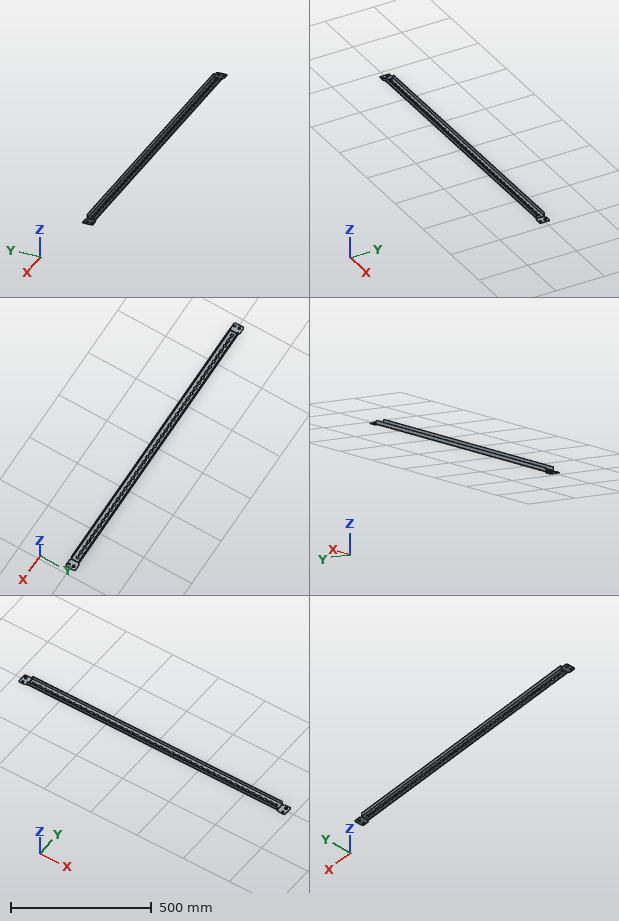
import cadquery as cq

total_length = 1150.02
total_height = 17.0
sheet = 1.5

pad_length = 30.0
pad_width = 40.0
pad_corner_radius = 4.0

rail_width = 33.5
rail_length = 1082.0
rail_step = 2.5
flange_end_chamfer = 3.0

hole_pitch = 25.0
square_hole_count = 43
square_hole_side = 9.0
round_hole_diameter = 5.0

pad_feature_x = 562.5
fixing_hole_y = -12.0
fixing_hole_diameter = 7.0
collar_y = 7.0
collar_diameter = 9.0
collar_bore = 6.0
collar_top = 5.0

pad_inner_x = total_length / 2 - pad_length
rail_end_x = rail_length / 2


def make_rail():
    """U-channel whose upper flange corners are clipped at both ends."""
    rail_height = total_height - rail_step
    rail = (
        cq.Workplane("XY")
        .workplane(offset=rail_step)
        .rect(rail_length, rail_width)
        .extrude(rail_height)
        .edges("|Y and >Z")
        .chamfer(flange_end_chamfer)
    )
    trough = (
        cq.Workplane("XY")
        .workplane(offset=rail_step + sheet)
        .rect(rail_length, rail_width - 2 * sheet)
        .extrude(rail_height)
    )
    return rail.cut(trough)


def make_pad(side):
    """Flat rounded end plate; side is -1 or 1."""
    return (
        cq.Workplane("XY")
        .center(side * (total_length - pad_length) / 2, 0)
        .rect(pad_length, pad_width)
        .extrude(sheet)
        .edges("|Z")
        .fillet(pad_corner_radius)
    )


def make_step(side):
    """Flat neck, lapping into the pad, and upright wall joining it to the raised web; side is -1 or 1."""
    outline = [
        (side * (pad_inner_x + sheet), 0),
        (side * (pad_inner_x + sheet), sheet),
        (side * rail_end_x, sheet),
        (side * rail_end_x, rail_step + sheet),
        (side * (rail_end_x - sheet), rail_step + sheet),
        (side * (rail_end_x - sheet), 0),
    ]
    return cq.Workplane("XZ").polyline(outline).close().extrude(rail_width / 2, both=True)


def web_holes():
    """Cutters for the alternating square and round holes of the web."""
    first_x = -(square_hole_count - 1) * hole_pitch / 2
    square_points = [(first_x + i * hole_pitch, 0) for i in range(square_hole_count)]
    round_points = [(x + hole_pitch / 2, 0) for x, _ in square_points[:-1]]
    squares = cq.Workplane("XY").pushPoints(square_points).rect(square_hole_side, square_hole_side)
    rounds = cq.Workplane("XY").pushPoints(round_points).circle(round_hole_diameter / 2)
    return squares.extrude(total_height).add(rounds.extrude(total_height)).combine()


def pad_points(y):
    """Matching points on the two pads."""
    return [(-pad_feature_x, y), (pad_feature_x, y)]


def pad_cylinders(y, diameter, height):
    """Matching upright cylinders on both pads."""
    return cq.Workplane("XY").pushPoints(pad_points(y)).circle(diameter / 2).extrude(height)


result = make_rail()
for side in (-1, 1):
    result = result.union(make_pad(side)).union(make_step(side))
result = result.union(pad_cylinders(collar_y, collar_diameter, collar_top))
result = result.cut(pad_cylinders(collar_y, collar_bore, collar_top))
result = result.cut(pad_cylinders(fixing_hole_y, fixing_hole_diameter, sheet))
result = result.cut(web_holes())